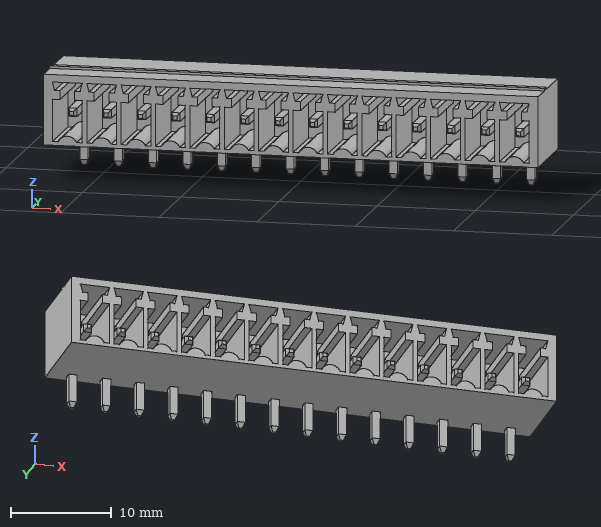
import cadquery as cq


length = 50.4
depth = 9.2
height = 7.2

rib_height = 0.25
rib_width = 0.65
rib_front = 2.85

way_count = 14
row_span = 45.5
pitch = row_span / (way_count - 1)

pocket_depth = 7.2
pocket_width = 3.0
floor_z = 0.4
chamber_top_z = 4.7
neck_width = 1.5
key_bottom_z = 5.6
key_top_z = 6.45
key_bottom_width = 2.55

hump_width = 1.9
hump_height = 0.6

pin_width = 0.85
pin_tip_width = 0.4
pin_taper = 0.55
contact_z = 2.9
contact_tip_y = 2.0
tail_to_back = 1.2
tail_y = depth - tail_to_back
tail_length = 3.5


def make_housing():
    body = cq.Workplane("XY").box(length, depth, height, centered=(True, False, False))
    rib = (
        cq.Workplane("XY", origin=(0, rib_front, height))
        .box(length, rib_width, rib_height, centered=(True, False, False))
    )
    return body.union(rib)


def make_pocket(x):
    """Cavity of one way, open at the front face."""
    side = pocket_width / 2
    neck = neck_width / 2
    key = key_bottom_width / 2
    hump = hump_width / 2
    return (
        cq.Workplane("XZ", origin=(x, 0, 0))
        .moveTo(-side, floor_z)
        .lineTo(-hump, floor_z)
        .threePointArc((0, floor_z + hump_height), (hump, floor_z))
        .lineTo(side, floor_z)
        .lineTo(side, chamber_top_z)
        .lineTo(neck, chamber_top_z)
        .lineTo(neck, key_bottom_z)
        .lineTo(key, key_bottom_z)
        .lineTo(side, key_top_z)
        .lineTo(-side, key_top_z)
        .lineTo(-key, key_bottom_z)
        .lineTo(-neck, key_bottom_z)
        .lineTo(-neck, chamber_top_z)
        .lineTo(-side, chamber_top_z)
        .close()
        .extrude(-pocket_depth)
    )


def make_leg(plane, total_length):
    """Square bar along the plane normal, ending in a blunt pyramid point."""
    shank_length = total_length - pin_taper
    shank = cq.Workplane(plane).rect(pin_width, pin_width).extrude(shank_length)
    point = (
        cq.Workplane(plane)
        .workplane(offset=shank_length)
        .rect(pin_width, pin_width)
        .workplane(offset=pin_taper)
        .rect(pin_tip_width, pin_tip_width)
        .loft(ruled=True)
    )
    return shank.union(point)


def make_pin(x):
    """Both legs start at the bend inside the back wall."""
    bend = (x, tail_y, contact_z)
    contact_plane = cq.Plane(origin=bend, xDir=(1, 0, 0), normal=(0, -1, 0))
    tail_plane = cq.Plane(origin=bend, xDir=(1, 0, 0), normal=(0, 0, -1))
    contact = make_leg(contact_plane, tail_y - contact_tip_y)
    tail = make_leg(tail_plane, contact_z + tail_length)
    return contact.union(tail)


result = make_housing()
for way in range(way_count):
    way_x = way * pitch - row_span / 2
    result = result.cut(make_pocket(way_x)).union(make_pin(way_x))